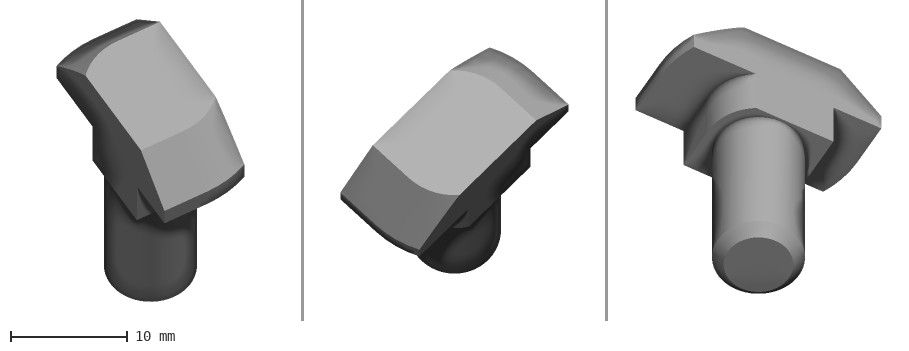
import cadquery as cq

total_height = 25.7
head_length = 19.4
body_thickness = 8.5
head_height = 5.7
head_bevel = 4.0
neck_length = 9.97
neck_height = 4.68
shank_diameter = 8.0
shank_chamfer = 1.0

head_bottom = total_height - head_height
neck_bottom = head_bottom - neck_height
half_head = head_length / 2
half_neck = neck_length / 2
half_thickness = body_thickness / 2


def half_profile():
    """Half outline of neck and head in the XZ plane, from the Z axis outward."""
    return (
        cq.Workplane("XZ")
        .moveTo(0, neck_bottom)
        .lineTo(half_neck, neck_bottom)
        .lineTo(half_neck, head_bottom)
        .lineTo(half_head, head_bottom)
        .lineTo(half_head, total_height - head_bevel)
        .lineTo(half_head - head_bevel, total_height)
        .lineTo(0, total_height)
        .close()
    )


def make_rounded_body():
    """Turned neck and head, cut flat on both Y sides."""
    turned = half_profile().revolve(360, (0, 0, 0), (0, 1, 0))
    slab = cq.Workplane("XY").box(
        head_length, body_thickness, total_height, centered=(True, True, False)
    )
    return turned.intersect(slab)


def make_square_quarter():
    """Straight quarter of neck and head on the +X, -Y side."""
    return half_profile().extrude(half_thickness)


def make_shank():
    """Round shank with a chamfered tip."""
    return (
        cq.Workplane("XY")
        .circle(shank_diameter / 2)
        .extrude(neck_bottom)
        .faces("<Z")
        .chamfer(shank_chamfer)
    )


body = make_rounded_body()
for angle in (0, 180):
    quarter = make_square_quarter().rotate((0, 0, 0), (0, 0, 1), angle)
    body = body.union(quarter)

result = body.union(make_shank())